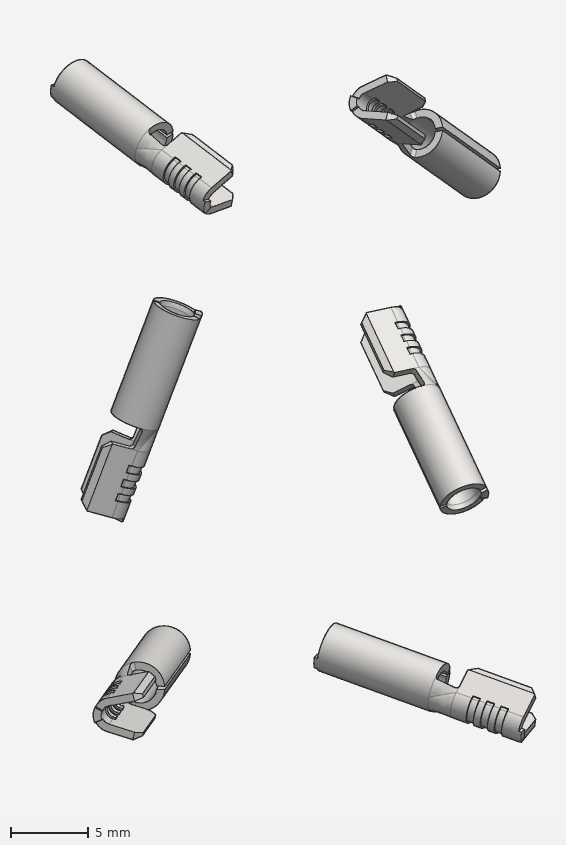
import cadquery as cq
import math


overall_length = 14.81
tab_length = 0.22
socket_start = tab_length
socket_end = 8.18
crimp_start = 9.77
crimp_end = overall_length - tab_length

socket_diameter = 3.3
socket_radius = socket_diameter / 2
sheet = 0.53
bore_radius = socket_radius - sheet
slit_width = 0.22
mouth_flare = 0.07
mouth_depth = 0.35

floor_radius = 1.17
floor_inner_radius = floor_radius - sheet
floor_center_y = floor_radius - socket_radius
lean = math.radians(14.5)
wall_normal = cq.Vector(0, -math.sin(lean), math.cos(lean))
wall_length = 2.24
bevel_length = 0.45
tip_thickness = 0.25
corner_clip = 0.49

groove_first = 10.89
groove_pitch = 1.0
groove_width = 0.52
groove_count = 3
groove_depth = 0.126
band_end_height = 0.18

neck_blank_height = 0.67
neck_height = 0.28
neck_corner_radius = 0.24
panel_start_angle = math.radians(23)

tab_half_width = 0.52

overcut = 0.74


def wall_point(radius, height):
    """(Y, Z) on the +Z wall, offset like the given floor radius, at a height up the wall."""
    y = floor_center_y - radius * math.sin(lean) + height * math.cos(lean)
    z = radius * math.cos(lean) + height * math.sin(lean)
    return (y, z)


def ring_point(center_y, radius, angle):
    """(Y, Z) on a circle, with the angle measured from -Y towards +Z."""
    return (center_y - radius * math.cos(angle), radius * math.sin(angle))


def mirrored(point):
    return (point[0], -point[1])


def section_plane(x):
    return cq.Workplane("YZ", origin=(x, 0, 0))


def floor_bottom(radius):
    return (floor_center_y - radius, 0)


def trim_to_tab(body, x, center_y, outer_radius):
    """Leave only the bottom sector of the body over one tab length from X."""
    angle = math.asin(tab_half_width / outer_radius)
    reach = 2 * socket_radius + overcut
    ray_end = ring_point(center_y, reach, angle)
    waste = (
        section_plane(x)
        .polyline([
            (center_y, 0),
            ray_end,
            (center_y, reach),
            (center_y + reach, reach),
            (center_y + reach, -reach),
            (center_y, -reach),
            mirrored(ray_end)])
        .close()
        .extrude(tab_length)
    )
    return body.cut(waste)


def make_socket():
    mouth_radius = bore_radius + mouth_flare
    tube = (
        cq.Workplane("XY")
        .polyline([
            (0, socket_radius),
            (0, mouth_radius),
            (socket_start, mouth_radius),
            (socket_start + mouth_depth, bore_radius),
            (socket_end, bore_radius),
            (socket_end, socket_radius)])
        .close()
        .revolve(360, (0, 0, 0), (1, 0, 0))
    )
    slit = cq.Workplane("XY").box(
        socket_end, socket_radius, slit_width, centered=(False, False, True))
    return trim_to_tab(tube.cut(slit), 0, 0, socket_radius)


def cut_above_wall(corners):
    """Prism through the +Z wall; corners are (X, height up the wall)."""
    plane = cq.Plane(
        origin=(0, floor_center_y, 0),
        xDir=(1, 0, 0),
        normal=wall_normal)
    return cq.Workplane(plane).polyline(corners).close().extrude(2 * socket_radius)


def cut_both_walls(body, cutter):
    return body.cut(cutter).cut(cutter.mirror("XY"))


def make_crimp():
    inner_tip = wall_point(floor_inner_radius, wall_length)
    bevel_tip = wall_point(floor_inner_radius + tip_thickness, wall_length)
    bevel_root = wall_point(floor_radius, wall_length - bevel_length)
    outer_foot = wall_point(floor_radius, 0)
    inner_foot = wall_point(floor_inner_radius, 0)
    crimp = (
        section_plane(crimp_start)
        .moveTo(*inner_tip)
        .lineTo(*bevel_tip)
        .lineTo(*bevel_root)
        .lineTo(*outer_foot)
        .threePointArc(floor_bottom(floor_radius), mirrored(outer_foot))
        .lineTo(*mirrored(bevel_root))
        .lineTo(*mirrored(bevel_tip))
        .lineTo(*mirrored(inner_tip))
        .lineTo(*mirrored(inner_foot))
        .threePointArc(floor_bottom(floor_inner_radius), inner_foot)
        .close()
        .extrude(overall_length - crimp_start)
    )
    crimp = trim_to_tab(crimp, crimp_end, floor_center_y, floor_radius)
    for x, inward in ((crimp_start, 1), (crimp_end, -1)):
        corner = cut_above_wall([
            (x, wall_length - corner_clip),
            (x + inward * corner_clip, wall_length),
            (x + inward * corner_clip, wall_length + overcut),
            (x - inward * overcut, wall_length + overcut),
            (x - inward * overcut, wall_length - corner_clip)])
        crimp = cut_both_walls(crimp, corner)
    return crimp


def make_band(x, radius, back_radius):
    """Strip following the floor and the feet of the walls between two offset radii."""
    end = wall_point(radius, band_end_height)
    foot = wall_point(radius, 0)
    back_end = wall_point(back_radius, band_end_height)
    back_foot = wall_point(back_radius, 0)
    return (
        section_plane(x)
        .moveTo(*end)
        .lineTo(*back_end)
        .lineTo(*back_foot)
        .threePointArc(floor_bottom(back_radius), mirrored(back_foot))
        .lineTo(*mirrored(back_end))
        .lineTo(*mirrored(end))
        .lineTo(*mirrored(foot))
        .threePointArc(floor_bottom(radius), foot)
        .close()
        .extrude(groove_width)
    )


def press_serrations(crimp):
    """Each groove outside is pressed through as a ridge of equal depth inside."""
    middle_radius = (floor_radius + floor_inner_radius) / 2
    for index in range(groove_count):
        x = groove_first + index * groove_pitch
        ridge = make_band(x, floor_inner_radius - groove_depth, middle_radius)
        groove = make_band(x, floor_radius - groove_depth, floor_radius + overcut)
        crimp = crimp.union(ridge).cut(groove)
    return crimp


def socket_neck_section():
    """Part of the tube ring, split where the flat wall panels begin."""
    top_angle = math.acos(-wall_point(floor_radius, neck_blank_height)[0] / socket_radius)
    middle_angle = (top_angle + panel_start_angle) / 2
    angles = (panel_start_angle, middle_angle, top_angle)
    outer = [ring_point(0, socket_radius, angle) for angle in angles]
    inner = [ring_point(0, bore_radius, angle) for angle in angles]
    return (
        section_plane(socket_end)
        .moveTo(*inner[2])
        .lineTo(*outer[2])
        .threePointArc(outer[1], outer[0])
        .threePointArc((-socket_radius, 0), mirrored(outer[0]))
        .threePointArc(mirrored(outer[1]), mirrored(outer[2]))
        .lineTo(*mirrored(inner[2]))
        .threePointArc(mirrored(inner[1]), mirrored(inner[0]))
        .threePointArc((-bore_radius, 0), inner[0])
        .threePointArc(inner[1], inner[2])
        .wire()
        .val()
    )


def crimp_neck_section():
    """Lower part of the crimp outline, with edges paired to the socket section."""
    outer_top = wall_point(floor_radius, neck_blank_height)
    inner_top = wall_point(floor_inner_radius, neck_blank_height)
    outer_foot = wall_point(floor_radius, 0)
    inner_foot = wall_point(floor_inner_radius, 0)
    return (
        section_plane(crimp_start)
        .moveTo(*inner_top)
        .lineTo(*outer_top)
        .lineTo(*outer_foot)
        .threePointArc(floor_bottom(floor_radius), mirrored(outer_foot))
        .lineTo(*mirrored(outer_top))
        .lineTo(*mirrored(inner_top))
        .lineTo(*mirrored(inner_foot))
        .threePointArc(floor_bottom(floor_inner_radius), inner_foot)
        .lineTo(*inner_top)
        .wire()
        .val()
    )


def make_neck():
    """Ruled transition whose top edges dip between rounded corners."""
    sections = [socket_neck_section(), crimp_neck_section()]
    neck = cq.Workplane(cq.Solid.makeLoft(sections, True))
    notch = cut_above_wall([
        (socket_end, neck_height),
        (crimp_start, neck_height),
        (crimp_start, wall_length),
        (socket_end, wall_length)])
    notch = notch.edges(cq.selectors.ParallelDirSelector(wall_normal))
    notch = notch.edges("<Y").fillet(neck_corner_radius)
    return cut_both_walls(neck, notch)


result = make_socket().union(make_neck()).union(press_serrations(make_crimp()))